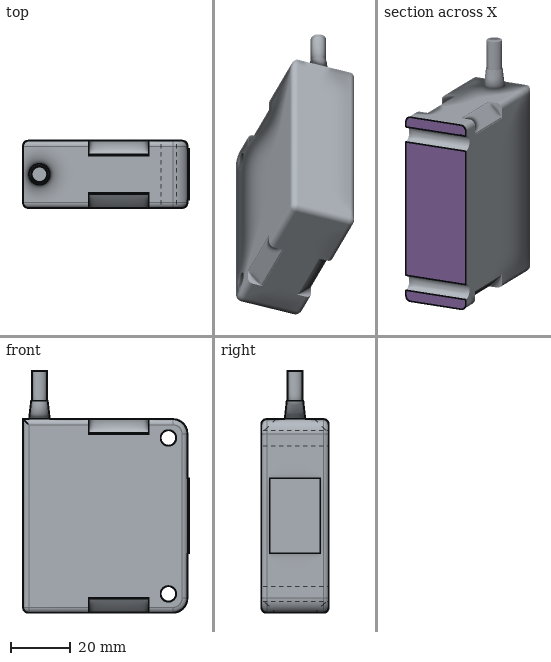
import cadquery as cq

BODY_LENGTH = 55.0
BODY_DEPTH = 22.6
BODY_HEIGHT = 64.8
CORNER_RADIUS = 5.0
EDGE_RADIUS = 1.9

HOLE_DIAMETER = 5.1
HOLE_INSET_X = 6.4
HOLE_INSET_Z = 6.35

NOTCH_START_X = 22.0
NOTCH_WIDTH = 20.0
NOTCH_SIZE = 5.1
NOTCH_STEP = 0.15
NOTCH_LEDGE = 0.45

PLATE_THICKNESS = 0.5
PLATE_DEPTH = 17.0
PLATE_HEIGHT = 25.0

CABLE_X = 5.5
CABLE_DIAMETER = 5.1
CABLE_LENGTH = 10.0
BOOT_BASE_DIAMETER = 7.0
BOOT_TOP_DIAMETER = 5.6
BOOT_HEIGHT = 6.1


def housing():
    """Box with large right-hand corners, a sharp top-left edge and rounded front and back rims."""
    box = cq.Workplane("XY").box(BODY_LENGTH, BODY_DEPTH, BODY_HEIGHT, centered=(False, True, False))
    box = box.edges("|Y and >X").fillet(CORNER_RADIUS)
    lower_left_edge = box.edges("|Y").edges("<X").edges("<Z")
    return box.edges("<Y or >Y").add(lower_left_edge).fillet(EDGE_RADIUS)


def notch_cutter(y_side, z_side):
    """Sloped cut with a shallow step along both ends of the slope, on the chosen long edge."""
    slope_end = NOTCH_SIZE - NOTCH_LEDGE
    profile = [
        (0, 0),
        (NOTCH_SIZE, 0),
        (NOTCH_SIZE, NOTCH_STEP),
        (slope_end, NOTCH_STEP),
        (NOTCH_STEP, slope_end),
        (NOTCH_STEP, NOTCH_SIZE),
        (0, NOTCH_SIZE),
    ]
    mid_height = BODY_HEIGHT / 2
    points = [
        (y_side * (BODY_DEPTH / 2 - y_inset), mid_height + z_side * (mid_height - z_inset))
        for y_inset, z_inset in profile
    ]
    return cq.Workplane("YZ", origin=(NOTCH_START_X, 0, 0)).polyline(points).close().extrude(NOTCH_WIDTH)


def mounting_holes():
    """Two cylinders along Y, one near each right-hand corner."""
    hole_x = BODY_LENGTH - HOLE_INSET_X
    centers = [(hole_x, HOLE_INSET_Z), (hole_x, BODY_HEIGHT - HOLE_INSET_Z)]
    return cq.Workplane("XZ").pushPoints(centers).circle(HOLE_DIAMETER / 2).extrude(BODY_DEPTH, both=True)


def side_plate():
    """Thin rectangular plate centred on the right face."""
    face = cq.Workplane("YZ", origin=(BODY_LENGTH, 0, BODY_HEIGHT / 2))
    return face.rect(PLATE_DEPTH, PLATE_HEIGHT).extrude(PLATE_THICKNESS)


def cable():
    """Tapered boot with a straight round cable stub, turned about a vertical axis."""
    profile = [
        (0, 0),
        (BOOT_BASE_DIAMETER / 2, 0),
        (BOOT_TOP_DIAMETER / 2, BOOT_HEIGHT),
        (CABLE_DIAMETER / 2, BOOT_HEIGHT),
        (CABLE_DIAMETER / 2, BOOT_HEIGHT + CABLE_LENGTH),
        (0, BOOT_HEIGHT + CABLE_LENGTH),
    ]
    base = cq.Workplane("XZ", origin=(CABLE_X, 0, BODY_HEIGHT))
    return base.polyline(profile).close().revolve(360, (0, 0), (0, 1))


result = housing()
for y_side in (-1, 1):
    for z_side in (-1, 1):
        result = result.cut(notch_cutter(y_side, z_side))
result = result.cut(mounting_holes())
result = result.union(side_plate())
result = result.union(cable())